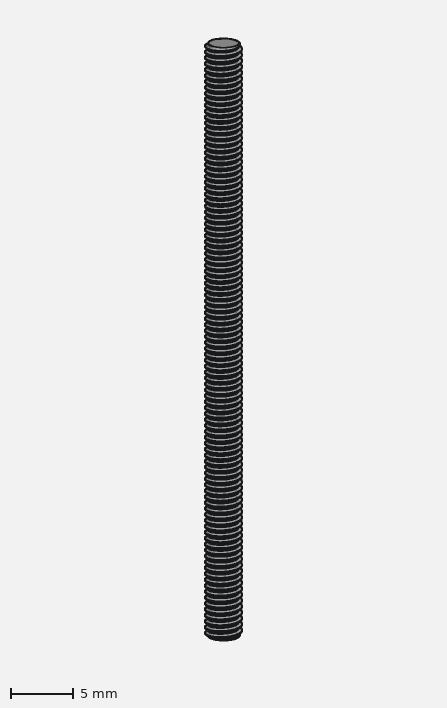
import cadquery as cq
import math

length = 50.0
major_radius = 1.5
pitch = 0.5
end_radius = 1.25

triangle_height = pitch * math.sqrt(3) / 2
minor_radius = major_radius - 5 / 8 * triangle_height
crest_width = pitch / 8
root_width = pitch / 4
flank_height = (pitch - crest_width - root_width) / 2

root_start = pitch / 4
spare_turns = 2
thread_bottom = root_start - spare_turns * pitch
turn_count = math.ceil(length / pitch) + 2 * spare_turns
thread_top = thread_bottom + turn_count * pitch

profile = [
    (minor_radius, 0),
    (minor_radius, root_width),
    (major_radius, root_width + flank_height),
    (major_radius, pitch - flank_height),
    (minor_radius, pitch),
]


def helix_turn(radius, height):
    """One turn of a helix starting on the +X side at the given height."""
    return cq.Wire.makeHelix(pitch, pitch, radius, cq.Vector(0, 0, height)).Edges()[0]


def turn_faces(height):
    """Root, lower flank, crest and upper flank of one turn."""
    edges = [helix_turn(radius, height + rise) for radius, rise in profile]
    return [cq.Face.makeRuledSurface(low, high) for low, high in zip(edges, edges[1:])]


def closing_faces(height):
    """Spiral ramp and radial step that close the thread at one end."""
    axis = cq.Edge.makeLine(cq.Vector(0, 0, height), cq.Vector(0, 0, height + pitch))
    ramp = cq.Face.makeRuledSurface(axis, helix_turn(minor_radius, height))
    outline = [(0, 0)] + profile + [(0, pitch)]
    corners = [cq.Vector(radius, 0, height + rise) for radius, rise in outline]
    step = cq.Face.makeFromWires(cq.Wire.makePolygon(corners, close=True))
    return [ramp, step]


def overlong_thread():
    """Solid thread that runs past both ends of the rod."""
    faces = closing_faces(thread_bottom) + closing_faces(thread_top)
    for turn in range(turn_count):
        faces += turn_faces(thread_bottom + turn * pitch)
    return cq.Solid.makeSolid(cq.Shell.makeShell(faces))


def chamfered_envelope():
    """Cylinder clear of the thread whose end chamfers cut into the crests."""
    clear_radius = major_radius + pitch
    return (
        cq.Workplane("XY")
        .circle(clear_radius)
        .extrude(length)
        .faces("<Z or >Z")
        .chamfer(clear_radius - end_radius)
    )


result = chamfered_envelope().intersect(cq.Workplane(obj=overlong_thread()), clean=False)